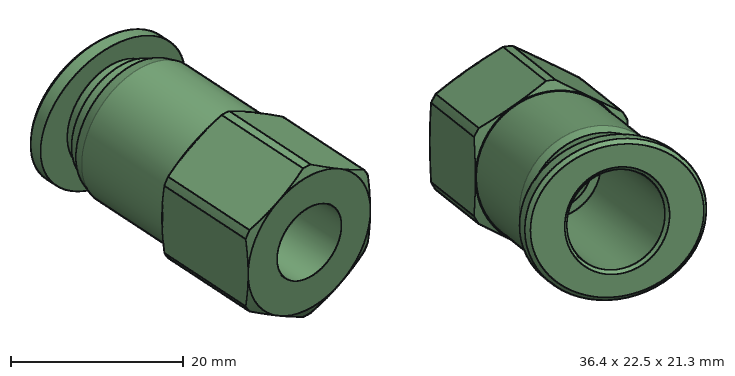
import cadquery as cq
import math

length = 36.4

collar_width = 22.5
collar_height = 19.5
collar_end = 2.25
collar_chamfer = 0.5

neck_diameter = 14.2
neck_end = 4.0
ring_diameter = 16.0
ring_end = 5.82
sleeve_diameter = 18.8
sleeve_nose_diameter = 17.9
sleeve_nose_end = 7.28
sleeve_end = 21.4

hex_across_flats = 19.0
hex_across_corners = 21.3
hex_bevel_angle = 20.0

tube_diameter = 12.15
tube_mouth_diameter = 13.0
tube_depth = sleeve_end
through_diameter = 10.0


def make_collar():
    blank = (
        cq.Workplane("YZ")
        .ellipse(collar_width / 2, collar_height / 2)
        .extrude(collar_end)
    )
    return blank.faces("<X").chamfer(collar_chamfer)


def cylinder(diameter, start, end):
    return cq.Workplane("YZ", origin=(start, 0, 0)).circle(diameter / 2).extrude(end - start)


def cone(start_diameter, end_diameter, start, end):
    return (
        cq.Workplane("YZ", origin=(start, 0, 0))
        .circle(start_diameter / 2)
        .workplane(offset=end - start)
        .circle(end_diameter / 2)
        .loft(ruled=True)
    )


def make_body():
    neck = cylinder(neck_diameter, collar_end, neck_end)
    ring = cylinder(ring_diameter, neck_end, ring_end)
    nose = cone(sleeve_nose_diameter, sleeve_diameter, ring_end, sleeve_nose_end)
    sleeve = cylinder(sleeve_diameter, sleeve_nose_end, sleeve_end)
    return neck.union(ring).union(nose).union(sleeve)


def make_hex():
    """Hex prism trimmed by a round bar whose ends are bevelled down to the flats."""
    sharp_corner_diameter = hex_across_flats / math.cos(math.pi / 6)
    prism = (
        cq.Workplane("YZ", origin=(sleeve_end, 0, 0))
        .transformed(rotate=(0, 0, 90))
        .polygon(6, sharp_corner_diameter)
        .extrude(length - sleeve_end)
    )
    bevel_depth = (hex_across_corners - hex_across_flats) / 2
    bevel_length = bevel_depth * math.tan(math.radians(hex_bevel_angle))
    flat_radius = hex_across_flats / 2
    corner_radius = hex_across_corners / 2
    bar = (
        cq.Workplane("XY")
        .polyline([
            (sleeve_end, 0),
            (sleeve_end, flat_radius),
            (sleeve_end + bevel_length, corner_radius),
            (length - bevel_length, corner_radius),
            (length, flat_radius),
            (length, 0),
        ])
        .close()
        .revolve(360, (0, 0, 0), (1, 0, 0))
    )
    return prism.intersect(bar)


def make_bore():
    mouth_depth = (tube_mouth_diameter - tube_diameter) / 2
    mouth = cone(tube_mouth_diameter, tube_diameter, 0, mouth_depth)
    tube_socket = cylinder(tube_diameter, mouth_depth, tube_depth)
    passage = cylinder(through_diameter, tube_depth, length)
    return mouth.union(tube_socket).union(passage)


result = make_collar().union(make_body()).union(make_hex()).cut(make_bore())